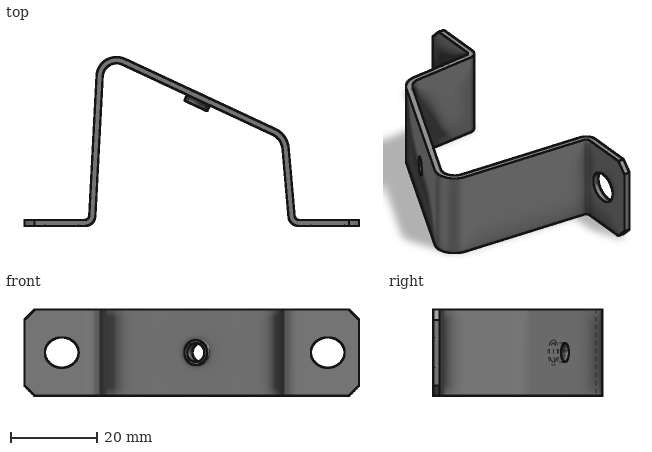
import cadquery as cq
import math

length = 77.6
depth = 39.2
width = 20.0
thickness = 1.5

left_lean = math.radians(3)
right_lean = math.radians(5)
roof_slope = math.radians(25)

left_leg_x = 14.9
right_leg_x = 62.85

foot_bend = 1.0
peak_bend = 3.2
shoulder_bend = 4.0

corner_chamfer = 2.4
hole_height = 7.0
hole_length = 7.75
left_hole_x = 8.7
right_hole_x = 70.3

collar_x = 40.35
collar_diameter = 5.8
collar_bore = 4.35
collar_root_fillet = 0.3
collar_height = 1.5

peak_radius = peak_bend + thickness
peak_y = depth - peak_radius
peak_x = left_leg_x + peak_y * math.tan(left_lean) + peak_radius / math.cos(left_lean)


def foot_corner(leg_x, lean, y, inward):
    """Sharp corner of a leg face at height y; inward is the signed X shift to the inner face."""
    return (leg_x + y * math.tan(lean) + inward / math.cos(lean), y)


def roof_y(x, inset):
    """Y of the roof face that lies the given distance inside the outer face."""
    offset = peak_radius - inset
    return peak_y + offset / math.cos(roof_slope) - (x - peak_x) * math.tan(roof_slope)


def roof_corner(leg_x, lean, inward):
    """Sharp corner where a leg face meets the roof face of the same side of the sheet."""
    start_x = leg_x + inward / math.cos(lean)
    y = roof_y(start_x, abs(inward)) / (1 + math.tan(lean) * math.tan(roof_slope))
    return (start_x + y * math.tan(lean), y)


def make_strip():
    """Bent strip: a sharp profile extruded along Z, then rounded at every bend."""
    bends = []
    for leg_x, lean, inward, roof_bend in (
        (left_leg_x, left_lean, thickness, peak_bend),
        (right_leg_x, -right_lean, -thickness, shoulder_bend),
    ):
        foot_outer = foot_corner(leg_x, lean, thickness, 0)
        foot_inner = foot_corner(leg_x, lean, 0, inward)
        roof_outer = roof_corner(leg_x, lean, 0)
        roof_inner = roof_corner(leg_x, lean, inward)
        bends.append((foot_outer, foot_inner, roof_outer, roof_inner, roof_bend))
    left, right = bends
    outer = [(0, thickness), left[0], left[2], right[2], right[0], (length, thickness)]
    inner = [(length, 0), right[1], right[3], left[3], left[1], (0, 0)]
    strip = cq.Workplane("XY").polyline(outer + inner).close().extrude(width)

    for foot_outer, foot_inner, roof_outer, roof_inner, roof_bend in bends:
        for corner, radius in (
            (foot_outer, foot_bend),
            (foot_inner, foot_bend + thickness),
            (roof_outer, roof_bend + thickness),
            (roof_inner, roof_bend),
        ):
            edge = cq.selectors.NearestToPointSelector((*corner, width / 2))
            strip = strip.edges("|Z").edges(edge).fillet(radius)
    return strip.faces("<X or >X").edges("|Y").chamfer(corner_chamfer)


def cut_foot_holes(body):
    """Elliptical fixing hole through each foot, longer in X."""
    holes = (
        cq.Workplane("XZ")
        .pushPoints([(left_hole_x, width / 2), (right_hole_x, width / 2)])
        .ellipse(hole_length / 2, hole_height / 2)
        .extrude(-thickness)
    )
    return body.cut(holes)


def add_collar(body):
    """Bored collar standing square to the inner face of the roof, filleted at its root."""
    roof_plane = cq.Plane(
        origin=(collar_x, roof_y(collar_x, thickness), width / 2),
        xDir=(0, 0, 1),
        normal=(-math.sin(roof_slope), -math.cos(roof_slope), 0),
    )
    root = cq.Workplane(roof_plane).workplane(offset=-thickness)
    collar = root.circle(collar_diameter / 2).extrude(thickness + collar_height)
    bore = root.circle(collar_bore / 2).extrude(thickness + collar_height)
    at_root = cq.selectors.NearestToPointSelector(roof_plane.origin.toTuple())
    joined = body.union(collar)
    root_edges = joined.edges("%CIRCLE").edges(at_root)
    return root_edges.fillet(collar_root_fillet).cut(bore)


result = add_collar(cut_foot_holes(make_strip()))